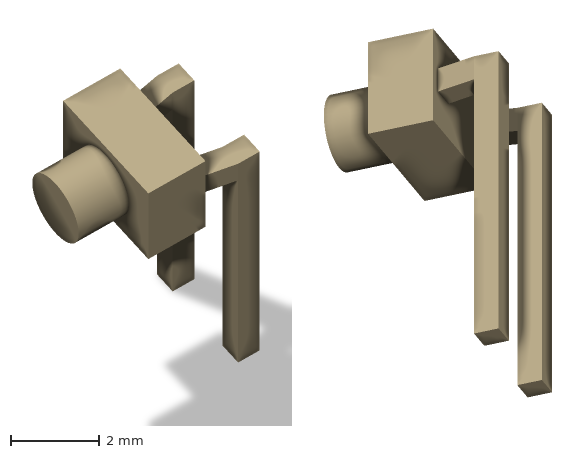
import cadquery as cq

total_height = 8.15
body_width = 3.3
body_depth = 1.6
body_height = 2.4
axis_z = total_height - body_height / 2

lens_diameter = 1.8
lens_length = 1.4

total_depth = 4.57
lead_size = 0.6
lead_pitch = 2.535
lead_splay = 0.195
lead_back_y = total_depth - lens_length
lead_bend_y = lead_back_y - lead_size
lead_top_z = axis_z + lead_size / 2


def make_body():
    return cq.Workplane("XY").box(body_width, body_depth, body_height).translate(
        (0, body_depth / 2, axis_z)
    )


def make_lens():
    return (
        cq.Workplane("XZ", origin=(0, 0, axis_z))
        .circle(lens_diameter / 2)
        .extrude(lens_length)
    )


def make_lead(side):
    """Build one lead; side is -1 for the -X lead and +1 for the +X lead."""
    leg_x = side * lead_pitch / 2
    root_x = leg_x - side * lead_splay
    half = lead_size / 2
    arm = (
        cq.Workplane("XY", origin=(0, 0, axis_z - half))
        .polyline([
            (root_x - half, body_depth),
            (root_x + half, body_depth),
            (leg_x + half, lead_bend_y),
            (leg_x - half, lead_bend_y),
        ])
        .close()
        .extrude(lead_size)
    )
    leg = cq.Workplane("XY").box(lead_size, lead_size, lead_top_z).translate(
        (leg_x, lead_back_y - half, lead_top_z / 2)
    )
    return arm.union(leg)


result = make_body().union(make_lens())
for side in (-1, 1):
    result = result.union(make_lead(side))